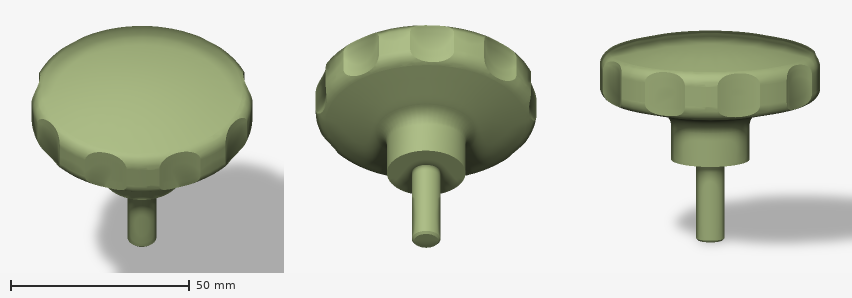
import cadquery as cq
import math

stud_radius = 4.0
stud_length = 23.1
stud_chamfer = 0.6

hub_radius = 11.0
hub_height = 9.7
neck_radius = 4.0

head_radius = 31.0
rim_radius = 28.2
rim_top = 53.7
rim_round = 3.85
band_bottom = 44.3
band_top = 49.95
total_height = 58.0
cone_slope = 14.5

flute_count = 9
flute_radius = 16.0
flute_floor = 29.1
first_flute_angle = -90.0

hub_top = stud_length + hub_height
slope = math.radians(cone_slope)

neck_center_r = hub_radius + neck_radius
neck_end_angle = math.pi / 2 - slope


def neck_point(angle):
    """Point on the neck arc, at an angle turned up from the hub wall."""
    return (
        neck_center_r - neck_radius * math.cos(angle),
        hub_top + neck_radius * math.sin(angle),
    )


neck_end_r, neck_end_z = neck_point(neck_end_angle)
rim_bottom = neck_end_z + (rim_radius - neck_end_r) * math.tan(slope)


def make_body():
    """Stud, hub and domed head as one revolved profile."""
    dome_mid_r = rim_radius / 2
    dome_rise = total_height - rim_top
    dome_radius = (rim_radius**2 + dome_rise**2) / (2 * dome_rise)
    dome_mid_z = total_height - dome_radius + math.sqrt(dome_radius**2 - dome_mid_r**2)
    profile = (
        cq.Workplane("XZ")
        .lineTo(stud_radius - stud_chamfer, 0)
        .lineTo(stud_radius, stud_chamfer)
        .lineTo(stud_radius, stud_length)
        .lineTo(hub_radius, stud_length)
        .lineTo(hub_radius, hub_top)
        .threePointArc(neck_point(neck_end_angle / 2), (neck_end_r, neck_end_z))
        .lineTo(rim_radius, rim_bottom)
        .radiusArc((head_radius, band_bottom), -rim_round)
        .lineTo(head_radius, band_top)
        .radiusArc((rim_radius, rim_top), -rim_round)
        .threePointArc((dome_mid_r, dome_mid_z), (0, total_height))
        .close()
    )
    return profile.revolve(360, (0, 0, 0), (0, 1, 0))


def make_flutes():
    """Upright cylinders that scallop the rim."""
    return (
        cq.Workplane("XY")
        .polarArray(flute_floor + flute_radius, first_flute_angle, 360, flute_count)
        .circle(flute_radius)
        .extrude(total_height)
    )


result = make_body().cut(make_flutes())